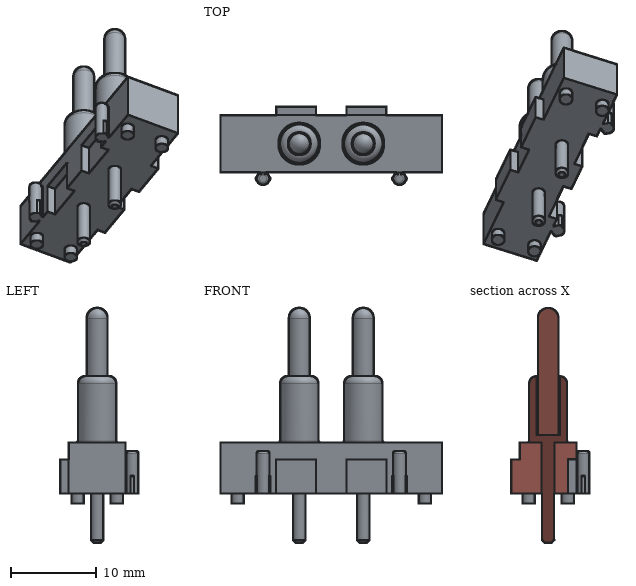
import cadquery as cq


housing_length = 26.0
housing_width = 6.7
housing_height = 6.0
half_width = housing_width / 2

tab_width = 4.7
tab_depth = 1.0
tab_height = 4.0
tab_x = 4.1

peg_radius = 0.75
peg_height = 5.0
peg_x = 8.0
peg_y = -half_width - peg_radius
peg_web_width = 0.8
peg_rounding = 0.3

rib_radius = 0.22
rib_reach = 0.85
rib_height = 2.18
rib_chamfer = 0.17

foot_radius = 0.75
foot_height = 1.2
foot_x = 10.98
foot_y = 2.3

contact_height = 27.6
contact_pitch = 7.5
tail_radius = 0.75
tail_length = 5.8
tail_chamfer = 0.35
barrel_radius = 2.25
barrel_height = 7.8
barrel_flare = 0.2
bore_radius = 1.35
barrel_wall = barrel_radius - bore_radius
plunger_radius = 1.25

tail_bottom = -tail_length
barrel_top = housing_height + barrel_height
bore_floor = housing_height + barrel_wall
plunger_top = tail_bottom + contact_height
contact_places = [(-contact_pitch / 2, 0), (contact_pitch / 2, 0)]


def make_cylinder(radius, bottom, top):
    """Upright cylinder on the Z axis."""
    return cq.Workplane("XY").workplane(offset=bottom).circle(radius).extrude(top - bottom)


def make_tab(x, face_y):
    """Block standing at the level of the housing underside and reaching tab_depth in +Y from face_y."""
    size = (tab_width, tab_depth, tab_height)
    return cq.Workplane("XY").box(*size, centered=(True, False, False)).translate((x, face_y, 0))


def make_peg():
    """Peg on the Z axis: round post with a web towards +Y, a rounded top and two crush ribs."""
    web_length = 2 * peg_radius
    web = (
        cq.Workplane("XY")
        .box(peg_web_width, web_length, peg_height, centered=(True, False, False))
    )
    peg = make_cylinder(peg_radius, 0, peg_height).union(web)
    peg = peg.faces(">Z").edges().fillet(peg_rounding)
    rib = make_cylinder(rib_radius, 0, rib_height).faces(">Z").chamfer(rib_chamfer)
    rib_x = rib_reach - rib_radius
    for x in (-rib_x, rib_x):
        peg = peg.union(rib.translate((x, 0, 0)))
    return peg


def make_housing():
    """Block with tabs, notches, pegs, feet and a hole for each solder tail."""
    block = cq.Workplane("XY").box(
        housing_length, housing_width, housing_height, centered=(True, True, False)
    )
    for x in (-tab_x, tab_x):
        block = block.union(make_tab(x, half_width))
        block = block.cut(make_tab(x, -half_width))

    peg = make_peg()
    for x in (-peg_x, peg_x):
        block = block.union(peg.translate((x, peg_y, 0)))

    foot = make_cylinder(foot_radius, -foot_height, 0)
    for x in (-foot_x, foot_x):
        for y in (-foot_y, foot_y):
            block = block.union(foot.translate((x, y, 0)))

    tail_hole = make_cylinder(tail_radius, 0, housing_height)
    for x, y in contact_places:
        block = block.cut(tail_hole.translate((x, y, 0)))
    return block


def make_barrel():
    """Turned barrel: chamfered tail, flared base on the housing top, rounded rim and blind bore."""
    rim_middle = barrel_wall * 0.5**0.5
    flare_middle = barrel_flare * (1 - 0.5**0.5)
    profile = (
        cq.Workplane("XZ")
        .moveTo(0, tail_bottom)
        .lineTo(tail_radius - tail_chamfer, tail_bottom)
        .lineTo(tail_radius, tail_bottom + tail_chamfer)
        .lineTo(tail_radius, housing_height)
        .lineTo(barrel_radius + barrel_flare, housing_height)
        .threePointArc(
            (barrel_radius + flare_middle, housing_height + flare_middle),
            (barrel_radius, housing_height + barrel_flare),
        )
        .lineTo(barrel_radius, barrel_top - barrel_wall)
        .threePointArc(
            (bore_radius + rim_middle, barrel_top - barrel_wall + rim_middle),
            (bore_radius, barrel_top),
        )
        .lineTo(bore_radius, bore_floor)
        .lineTo(0, bore_floor)
        .close()
    )
    return profile.revolve(360, (0, 0, 0), (0, 1, 0))


def make_plunger():
    """Round pin with a hemispherical tip, standing on the floor of the barrel bore."""
    shoulder = plunger_top - plunger_radius
    shaft = make_cylinder(plunger_radius, bore_floor, shoulder)
    tip = cq.Workplane("XY").sphere(plunger_radius).translate((0, 0, shoulder))
    return shaft.union(tip)


housing = make_housing()
barrels = []
plungers = []
for x, y in contact_places:
    barrels.append(make_barrel().translate((x, y, 0)).val())
    plungers.append(make_plunger().translate((x, y, 0)).val())

result = cq.Compound.makeCompound([housing.val(), *barrels, *plungers])